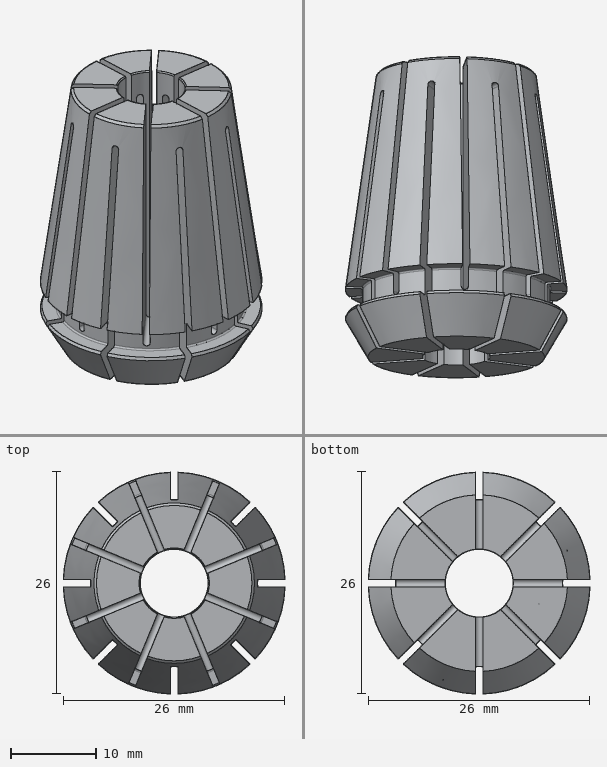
import cadquery as cq
import math


length = 34.0
bore_diameter = 7.94
max_radius = 13.0
cone_half_angle = 8.0
nose_half_angle = 30.0
nose_height = 4.6
groove_bottom = 4.95
groove_top = 8.1
groove_radius = 11.0
groove_fillet = 0.2
rim_bevel_width = 0.2
end_bevel_width = 0.3
end_bevel_height = 0.3
bore_chamfer = 0.15

slit_width = 0.85
slits_per_end = 8
nose_slit_top = 31.0
back_slit_bottom = 5.5

bore_radius = bore_diameter / 2
end_bevel_base = length - end_bevel_height
top_radius = max_radius - (end_bevel_base - groove_top) * math.tan(math.radians(cone_half_angle))
nose_radius = max_radius - nose_height * math.tan(math.radians(nose_half_angle))
slit_pitch = 360.0 / slits_per_end


def make_body():
    """Revolve the half section, then fillet the groove and chamfer the bore mouth."""
    profile = [
        (bore_radius, 0),
        (nose_radius, 0),
        (max_radius, nose_height),
        (max_radius - rim_bevel_width, groove_bottom),
        (groove_radius, groove_bottom),
        (groove_radius, groove_top),
        (max_radius, groove_top),
        (top_radius, end_bevel_base),
        (top_radius - end_bevel_width, length),
        (bore_radius, length),
    ]
    body = cq.Workplane("XZ").polyline(profile).close().revolve(360, (0, 0), (0, 1))
    groove_corners = cq.selectors.BoxSelector(
        (-max_radius, -max_radius, groove_bottom - groove_fillet),
        (max_radius, max_radius, groove_top + groove_fillet),
    )
    groove_edges = body.edges(groove_corners).edges(cq.selectors.RadiusNthSelector(0))
    body = groove_edges.fillet(groove_fillet)
    return body.faces(">Z").edges(cq.selectors.RadiusNthSelector(0)).chamfer(bore_chamfer)


def make_slit(closed_z, open_z, angle):
    """Radial slit from the axis outwards, with a full round closed end."""
    half_width = slit_width / 2
    inward = math.copysign(half_width, open_z - closed_z)
    slit = (
        cq.Workplane("YZ")
        .moveTo(-half_width, open_z)
        .lineTo(-half_width, closed_z + inward)
        .threePointArc((0, closed_z), (half_width, closed_z + inward))
        .lineTo(half_width, open_z)
        .close()
        .extrude(max_radius + slit_width)
    )
    return slit.rotate((0, 0, 0), (0, 0, 1), angle)


def cut_slits(body):
    """Slits from the nose and from the small end alternate around the axis."""
    for index in range(slits_per_end):
        nose_angle = index * slit_pitch
        back_angle = nose_angle + slit_pitch / 2
        body = body.cut(make_slit(nose_slit_top, 0, nose_angle))
        body = body.cut(make_slit(back_slit_bottom, length, back_angle))
    return body


result = cut_slits(make_body())